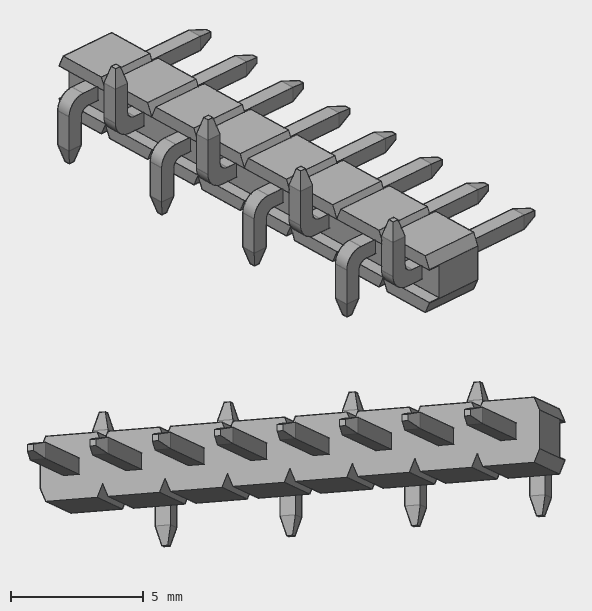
import cadquery as cq

pin_count = 8
pitch = 2.55
row_length = pin_count * pitch

housing_size = 2.5
notch_half_width = 0.22
notch_depth = 0.5
channel_depth = 0.5
channel_height = 1.42

pin_width = 0.63
bend_outer_radius = 0.73
bend_inner_radius = 0.37
tip_length = 0.73
tip_width = 0.25
contact_end = 6.52
leg_face = -0.98
leg_span = 5.3
leg_reach = leg_span / 2


def make_housing():
    """Bar with V-notches between the pins, a channel on the leg side and one hole per pin."""
    bar = cq.Workplane("XY").box(row_length, housing_size, housing_size, centered=(True, False, True))

    for index in range(pin_count + 1):
        notch_x = index * pitch - row_length / 2
        for side in (1, -1):
            surface_z = side * housing_size / 2
            notch = (
                cq.Workplane("XZ")
                .moveTo(notch_x - notch_half_width, surface_z)
                .lineTo(notch_x + notch_half_width, surface_z)
                .lineTo(notch_x, surface_z - side * notch_depth)
                .close()
                .extrude(-housing_size)
            )
            bar = bar.cut(notch)

    channel = cq.Workplane("XY").box(
        row_length, channel_depth, channel_height, centered=(True, False, True)
    )
    bar = bar.cut(channel)

    pin_holes = (
        cq.Workplane("XZ")
        .rarray(pitch, 0.2, pin_count, 1)
        .rect(pin_width, pin_width)
        .extrude(-housing_size)
    )
    return bar.cut(pin_holes)


def tapered_tip(base_plane):
    """Truncated pyramid that grows from the base plane along its normal."""
    return (
        cq.Workplane(base_plane)
        .rect(pin_width, pin_width)
        .workplane(offset=tip_length)
        .rect(tip_width, tip_width)
        .loft(ruled=True)
    )


def make_pin():
    """Pin centred on X = 0 with its contact along +Y and its leg pointing down."""
    half = pin_width / 2
    contact_shoulder = contact_end - tip_length
    leg_shoulder = tip_length - leg_reach
    leg_inner_face = leg_face + pin_width

    wire = (
        cq.Workplane("YZ")
        .polyline([
            (contact_shoulder, half),
            (leg_face, half),
            (leg_face, leg_shoulder),
            (leg_inner_face, leg_shoulder),
            (leg_inner_face, -half),
            (contact_shoulder, -half),
        ])
        .close()
        .extrude(half, both=True)
    )

    outer_corner = cq.selectors.NearestToPointSelector((0, leg_face, half))
    wire = wire.edges("|X").edges(outer_corner).fillet(bend_outer_radius)
    inner_corner = cq.selectors.NearestToPointSelector((0, leg_inner_face, -half))
    wire = wire.edges("|X").edges(inner_corner).fillet(bend_inner_radius)

    contact_base = cq.Plane(origin=(0, contact_shoulder, 0), xDir=(1, 0, 0), normal=(0, 1, 0))
    leg_base = cq.Plane(origin=(0, leg_face + half, leg_shoulder), xDir=(1, 0, 0), normal=(0, 0, -1))
    return wire.union(tapered_tip(contact_base)).union(tapered_tip(leg_base))


def make_pins():
    """Row of pins whose legs point down and up in turn, starting with down at the -X end."""
    pin_down = make_pin()
    pin_up = pin_down.mirror("XY")
    row = []
    for index in range(pin_count):
        pin = pin_down if index % 2 == 0 else pin_up
        pin_x = (index + 0.5) * pitch - row_length / 2
        row.append(pin.translate((pin_x, 0, 0)).val())
    return row


housing = make_housing()
pins = make_pins()
result = cq.Compound.makeCompound([housing.val(), *pins])